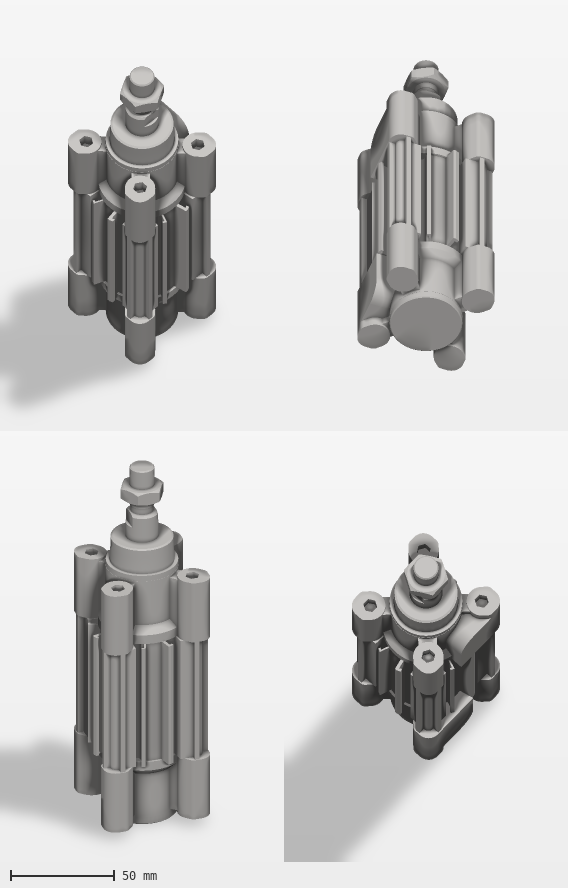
import cadquery as cq
import math


cap_length = 32.5
barrel_length = 65.0
rear_collar_height = 4.0
front_collar_height = 3.0
barrel_bottom = rear_collar_height + cap_length
barrel_top = barrel_bottom + barrel_length
front_face = barrel_top + cap_length

cap_width = 54.0
screw_spacing = 38.0
half_width = cap_width / 2
half_spacing = screw_spacing / 2
lug_radius = 7.3
lug_corner_radius = 6.0
lug_blend_radius = 3.0
web_width = 9.0
web_recess = 1.4
hub_diameter = 35.2
collar_diameter = 35.0
collar_chamfer = 0.5
rim_diameter = 42.5
rim_thickness = 4.8
corners = [(-1, -1), (1, -1), (1, 1), (-1, 1)]

port_radius = 9.0
port_center_x = -4.75
port_block_height = 27.2
port_block_inner_y = 14.0

nose_base_radius = 15.6
nose_top_radius = 15.2
nose_top = 150.0
nose_edge_width = 1.0
nose_edge_height = 0.5

screw_diameter = 9.4
screw_length = 12.0
socket_width = 6.0
socket_depth = 6.0

rod_diameter = 16.0
thread_diameter = 12.0
neck_diameter = 11.2
neck_length = 3.5
shoulder_z = front_face + 30.0
rod_tip = shoulder_z + 24.0
shoulder_chamfer = 1.0
tip_chamfer = 0.6
flat_width = 13.0
flat_length = 6.5

nut_width = 19.0
nut_height = 7.0
nut_bottom = shoulder_z + 7.0
nut_face_radius = 9.1
nut_chamfer_angle = 30.0

core_radius = 20.0
rail_face = 23.5
rail_ridge = 26.5
ridge_inner = 17.8
ridge_outer = 20.1
rail_end = 11.4
rail_root = 12.0
groove_side_root = 10.5
plain_side_root = 9.8
groove_radius = 2.0
groove_center_x = 8.9
groove_center_y = 17.0
long_hook_outline = [
    (-2.4, 19), (-4.1, 26.5), (-5.4, 26.5), (-7.1, 25.7), (-6.7, 24.2), (-5.4, 25.0), (-4.1, 19),
]
short_hook_outline = [
    (4.7, 19), (7.0, 25.2), (8.8, 24.3), (8.4, 23.4), (7.4, 23.8), (5.5, 19),
]


def disc(diameter, height, base=0.0):
    """Upright cylinder on the Z axis, standing on the given height."""
    return cq.Workplane("XY").workplane(offset=base).circle(diameter / 2).extrude(height)


def hexagon(width, height, base=0.0):
    """Upright hexagonal prism of the given width across flats, with two corners on the X axis."""
    across_corners = width / math.cos(math.pi / 6)
    return cq.Workplane("XY").workplane(offset=base).polygon(6, across_corners).extrude(height)


def turned(profile):
    """Solid of revolution about Z from (radius, z) points."""
    return cq.Workplane("XZ").polyline(profile).close().revolve(360, (0, 0, 0), (0, 1, 0))


def spin(body, angle):
    return body.rotate((0, 0, 0), (0, 0, 1), angle)


def corner_lug():
    """Column around the screw in the +X +Y corner: round inside, square with rounded corners outside."""
    reach = lug_radius / math.sqrt(2)
    far = half_spacing + reach
    near = half_spacing - reach
    bevel_end = near + half_width - far
    column = (
        cq.Workplane("XY")
        .moveTo(half_width, half_width)
        .lineTo(half_width, bevel_end)
        .lineTo(far, near)
        .threePointArc((near, near), (near, far))
        .lineTo(bevel_end, half_width)
        .close()
        .extrude(cap_length)
    )

    def upright_edge(x, y):
        return cq.selectors.NearestToPointSelector((x, y, cap_length / 2))

    column = column.edges(upright_edge(half_width, half_width)).fillet(lug_corner_radius)
    for x, y in [(half_width, bevel_end), (bevel_end, half_width)]:
        column = column.edges(upright_edge(x, y)).fillet(lug_blend_radius)
    return column


def port_block():
    """Block on the +Y side that runs from the -X lug to a wall rounded about the port."""
    wall_x = port_center_x + port_radius
    return (
        cq.Workplane("XZ", origin=(0, port_block_inner_y, 0))
        .moveTo(-half_spacing, 0)
        .lineTo(wall_x, 0)
        .lineTo(wall_x, port_block_height - port_radius)
        .radiusArc((port_center_x, port_block_height), -port_radius)
        .lineTo(-half_spacing, port_block_height)
        .close()
        .extrude(port_block_inner_y - half_width)
    )


def cap_body():
    """Cap standing on its barrel side at Z = 0, without collar, bore or screw holes."""
    hub_radius = hub_diameter / 2
    rim_radius = rim_diameter / 2
    taper_top = rim_thickness + rim_radius - hub_radius
    cap = turned([
        (0, 0),
        (rim_radius, 0),
        (rim_radius, rim_thickness),
        (hub_radius, taper_top),
        (hub_radius, cap_length),
        (0, cap_length),
    ])
    web_length = screw_spacing * math.sqrt(2)
    web_height = cap_length - web_recess
    web = cq.Workplane("XY").box(web_length, web_width, web_height, centered=(True, True, False))
    for angle in (45, 135):
        cap = cap.union(spin(web, angle))
    cap = cap.union(port_block())
    lug = corner_lug()
    for angle in range(0, 360, 90):
        cap = cap.union(spin(lug, angle))
    return cap


def front_cap():
    collar_top = front_face + front_collar_height
    collar_and_nose = turned([
        (0, front_face),
        (collar_diameter / 2, front_face),
        (collar_diameter / 2, collar_top),
        (nose_base_radius, collar_top),
        (nose_top_radius, nose_top - nose_edge_height),
        (nose_top_radius - nose_edge_width, nose_top),
        (0, nose_top),
    ])
    cap = cap_body().translate((0, 0, barrel_top)).union(collar_and_nose)
    cap = cap.cut(disc(rod_diameter, nose_top - barrel_top, barrel_top))
    screw_hole = disc(screw_diameter, screw_length, front_face - screw_length)
    for x, y in corners:
        cap = cap.cut(screw_hole.translate((x * half_spacing, y * half_spacing, 0)))
    return cap


def rear_cap():
    """Same cap turned half a turn about the Y axis, with a plain collar."""
    cap = cap_body().rotate((0, 0, 0), (0, 1, 0), 180).translate((0, 0, barrel_bottom))
    collar = disc(collar_diameter, rear_collar_height).faces("<Z").chamfer(collar_chamfer)
    return cap.union(collar)


def corner_rail():
    """Rail in the +X +Y corner; its two ends lean by slightly different amounts."""
    return (
        cq.Workplane("XY")
        .moveTo(rail_root, rail_root)
        .lineTo(groove_side_root, rail_root)
        .lineTo(rail_end, rail_face)
        .lineTo(ridge_inner, rail_face)
        .lineTo(ridge_inner, rail_ridge)
        .lineTo(ridge_outer, rail_ridge)
        .lineTo(ridge_outer, rail_face)
        .radiusArc((rail_face, ridge_outer), rail_face - ridge_outer)
        .lineTo(rail_ridge, ridge_outer)
        .lineTo(rail_ridge, ridge_inner)
        .lineTo(rail_face, ridge_inner)
        .lineTo(rail_face, rail_end)
        .lineTo(rail_root, plain_side_root)
        .close()
        .extrude(barrel_length)
    )


def hook(outline):
    return cq.Workplane("XY").polyline(outline).close().extrude(barrel_length)


def sensor_groove():
    """Round-bottomed groove in the core between a short hook and the nearest rail."""
    left = groove_center_x - groove_radius
    right = groove_center_x + groove_radius
    return (
        cq.Workplane("XY")
        .moveTo(left, core_radius)
        .lineTo(left, groove_center_y)
        .threePointArc(
            (groove_center_x, groove_center_y - groove_radius),
            (right, groove_center_y),
        )
        .lineTo(right, core_radius)
        .close()
        .extrude(barrel_length)
    )


def barrel():
    body = disc(2 * core_radius, barrel_length)
    ribs = [corner_rail(), hook(long_hook_outline), hook(short_hook_outline)]
    groove = sensor_groove()
    for angle in range(0, 360, 90):
        for rib in ribs:
            body = body.union(spin(rib, angle))
        body = body.cut(spin(groove, angle))
    return body.translate((0, 0, barrel_bottom))


def piston_rod():
    rod_radius = rod_diameter / 2
    neck_radius = neck_diameter / 2
    thread_radius = thread_diameter / 2
    neck_top = shoulder_z + neck_length
    rod = turned([
        (0, barrel_top),
        (rod_radius, barrel_top),
        (rod_radius, shoulder_z - shoulder_chamfer),
        (rod_radius - shoulder_chamfer, shoulder_z),
        (neck_radius, shoulder_z),
        (neck_radius, neck_top),
        (thread_radius, neck_top),
        (thread_radius, rod_tip - tip_chamfer),
        (thread_radius - tip_chamfer, rod_tip),
        (0, rod_tip),
    ])
    cutter_offset = (flat_width + rod_diameter) / 2
    flat_cutter = cq.Workplane("XY").box(
        rod_diameter, rod_diameter, flat_length, centered=(True, True, False)
    )
    for side in (-1, 1):
        rod = rod.cut(flat_cutter.translate((side * cutter_offset, 0, shoulder_z - flat_length)))
    return rod


def rod_nut():
    """Hexagon nut with its corners turned off conically at both faces."""
    corner_radius = nut_width / 2 / math.cos(math.pi / 6)
    drop = (corner_radius - nut_face_radius) * math.tan(math.radians(nut_chamfer_angle))
    nut_top = nut_bottom + nut_height
    envelope = turned([
        (0, nut_bottom),
        (nut_face_radius, nut_bottom),
        (corner_radius, nut_bottom + drop),
        (corner_radius, nut_top - drop),
        (nut_face_radius, nut_top),
        (0, nut_top),
    ])
    nut = hexagon(nut_width, nut_height, nut_bottom).intersect(envelope)
    return nut.cut(disc(thread_diameter, nut_height, nut_bottom))


def cap_screw(x, y):
    """Screw flush with the front cap; the sockets on one diagonal are turned by 30 degrees."""
    socket_angle = 30 if x == y else 0
    socket = hexagon(socket_width, socket_depth, front_face - socket_depth)
    body = disc(screw_diameter, screw_length, front_face - screw_length)
    screw = body.cut(spin(socket, socket_angle))
    return screw.translate((x * half_spacing, y * half_spacing, 0))


screws = [cap_screw(x, y) for x, y in corners]

result = cq.Compound.makeCompound([
    barrel().val(),
    front_cap().val(),
    rear_cap().val(),
    piston_rod().val(),
    rod_nut().val(),
    *[screw.val() for screw in screws],
])